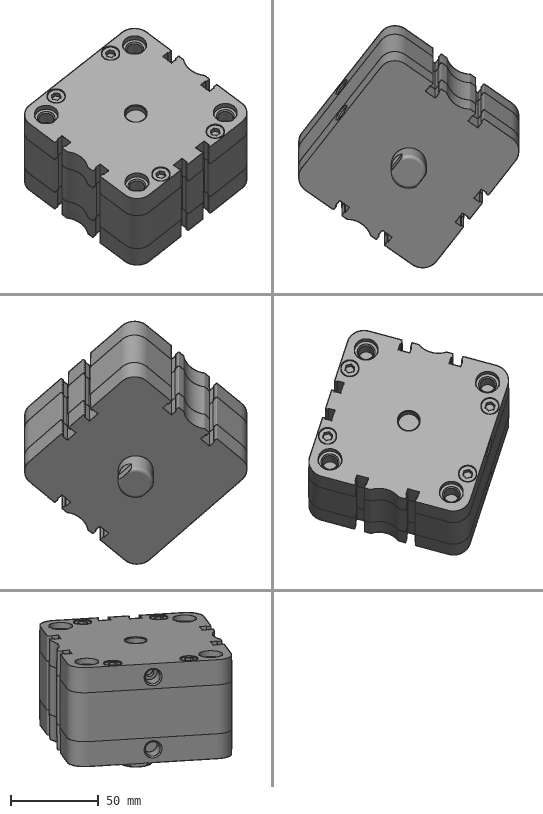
import cadquery as cq
import math

WIDTH = 95.5
COVER_HEIGHT = 14.9
BARREL_HEIGHT = 29.0
BODY_HEIGHT = 2 * COVER_HEIGHT + BARREL_HEIGHT
CORNER_RADIUS = 10.0
COVER_DRAFT = 0.7

CHANNEL_HALF_WIDTH = 8.2
CHANNEL_DEPTH = 2.7

SIDE_SLOT_OFFSET = 15.1
SIDE_SLOT_LIP = 2.9
SIDE_SLOT_DEPTH = 6.7
END_SLOT_OFFSET = 9.0
END_SLOT_LIP = 1.8
BARREL_END_SLOT_DEPTH = 5.35
COVER_END_SLOT_DEPTH = 5.6
BARREL_SLOT_MOUTH = 5.35
COVER_SLOT_MOUTH = 5.7
SLOT_CAVITY = 6.9

BARREL_MOUTH_RADIUS = 0.5
COVER_MOUTH_RADIUS = 0.3
BARREL_CHANNEL_RADIUS = 1.0
COVER_CHANNEL_RADIUS = 0.3

MOUNT_OFFSET = 36.0
MOUNT_COUNTERBORE = 13.5
MOUNT_COUNTERBORE_DEPTH = 3.4
MOUNT_CHAMFER = 10.1
MOUNT_BORE = 8.6
MOUNT_DEPTH = 12.4

SCREW_X = 41.5
SCREW_Y = 22.2
SCREW_RECESS = 10.3
SCREW_HEAD = 9.8
SCREW_SINK = 0.6
HEX_ACROSS_FLATS = 5.0
HEX_DEPTH = 2.9

CENTRE_RIM = 13.0
CENTRE_BORE = 12.0
CENTRE_DEPTH = 4.0

PORT_FROM_FACE = 7.9
PORT_RIM = 10.3
PORT_BORE = 8.6
PORT_DEPTH = 9.55
PORT_PASSAGE = 5.0
PORT_PASSAGE_DEPTH = 13.4

ROD_DIAMETER = 20.0
ROD_LENGTH = 14.1
ROD_TIP_RADIUS = 2.0
FLAT_ACROSS = 17.0
FLAT_LENGTH = 5.9

OVERLAP = 1.0


def block_outline():
    """Rounded square with the round channel on its -Y and +Y sides."""
    half = WIDTH / 2
    straight = half - CORNER_RADIUS
    corner = straight + CORNER_RADIUS * math.sqrt(0.5)
    return (
        cq.Workplane("XY")
        .moveTo(-straight, -half)
        .lineTo(-CHANNEL_HALF_WIDTH, -half)
        .threePointArc((0, CHANNEL_DEPTH - half), (CHANNEL_HALF_WIDTH, -half))
        .lineTo(straight, -half)
        .threePointArc((corner, -corner), (half, -straight))
        .lineTo(half, straight)
        .threePointArc((corner, corner), (straight, half))
        .lineTo(CHANNEL_HALF_WIDTH, half)
        .threePointArc((0, half - CHANNEL_DEPTH), (-CHANNEL_HALF_WIDTH, half))
        .lineTo(-straight, half)
        .threePointArc((-corner, corner), (-half, straight))
        .lineTo(-half, -straight)
        .threePointArc((-corner, -corner), (-straight, -half))
        .close()
    )


def t_slot(mouth_width, lip, depth, offset, turn):
    """T-slot cut through the whole height: on +Y before being turned about Z by `turn` degrees."""
    half = WIDTH / 2
    mouth = cq.Workplane("XY").box(mouth_width, depth + OVERLAP, BODY_HEIGHT, centered=(True, False, False))
    cavity = cq.Workplane("XY").box(SLOT_CAVITY, depth - lip, BODY_HEIGHT, centered=(True, False, False))
    slot = mouth.union(cavity).translate((offset, half - depth, 0))
    return slot.rotate((0, 0, 0), (0, 0, 1), turn)


def cut_t_slots(body, mouth_width, end_slot_depth):
    """Cut all six T-slots into a body standing on Z = 0."""
    for side in (-1, 1):
        for turn in (0, 180):
            offset = side * SIDE_SLOT_OFFSET
            body = body.cut(t_slot(mouth_width, SIDE_SLOT_LIP, SIDE_SLOT_DEPTH, offset, turn))
        body = body.cut(t_slot(mouth_width, END_SLOT_LIP, end_slot_depth, side * END_SLOT_OFFSET, -90))
    return body


def round_long_edges(body, mouth_radius, channel_radius):
    """Round the upright edges where the slots and the channel meet the outer sides."""
    reach = SIDE_SLOT_OFFSET + SLOT_CAVITY / 2
    skin = WIDTH / 2 - OVERLAP

    def is_upright_on_side(edge):
        across, out = sorted((abs(edge.Center().x), abs(edge.Center().y)))
        return edge.BoundingBox().zlen > COVER_HEIGHT / 2 and out > skin and across < reach

    def is_channel_edge(edge):
        beside_channel = abs(edge.Center().x) < CHANNEL_HALF_WIDTH + OVERLAP
        return is_upright_on_side(edge) and beside_channel

    def is_slot_edge(edge):
        return is_upright_on_side(edge) and not is_channel_edge(edge)

    body = body.edges().filter(is_slot_edge).fillet(mouth_radius)
    return body.edges().filter(is_channel_edge).fillet(channel_radius)


def cover_blank():
    """Drafted cover standing on Z = 0, wide face down, with its slots and rounded edges."""
    cover = block_outline().extrude(COVER_HEIGHT, taper=COVER_DRAFT)
    cover = cut_t_slots(cover, COVER_SLOT_MOUTH, COVER_END_SLOT_DEPTH)
    return round_long_edges(cover, COVER_MOUTH_RADIUS, COVER_CHANNEL_RADIUS)


def rimmed_hole(rim, bore, depth):
    """Blind bore going down from Z = 0, with a 45-degree chamfer opening to the rim diameter."""
    chamfer = (rim - bore) / 2
    return (
        cq.Workplane("XZ")
        .polyline([
            (0, 0),
            (rim / 2, 0),
            (bore / 2, -chamfer),
            (bore / 2, -depth),
            (0, -depth),
        ])
        .close()
        .revolve(360, (0, 0, 0), (0, 1, 0))
    )


def port_face_x():
    """Distance from the axis to the drafted -X face at the height of the ports."""
    return WIDTH / 2 - (COVER_HEIGHT - PORT_FROM_FACE) * math.tan(math.radians(COVER_DRAFT))


def port(z):
    """Chamfered port bored from the -X side at height z."""
    hole = rimmed_hole(PORT_RIM, PORT_BORE, PORT_DEPTH)
    lead = cq.Workplane("XY").circle(PORT_RIM / 2).extrude(OVERLAP)
    return hole.union(lead).rotate((0, 0, 0), (0, 1, 0), -90).translate((-port_face_x(), 0, z))


def mounting_hole():
    """Counterbore with a chamfered blind bore in its floor, going down from Z = 0."""
    counterbore = cq.Workplane("XY").circle(MOUNT_COUNTERBORE / 2).extrude(-MOUNT_COUNTERBORE_DEPTH)
    bore = rimmed_hole(MOUNT_CHAMFER, MOUNT_BORE, MOUNT_DEPTH - MOUNT_COUNTERBORE_DEPTH)
    return counterbore.union(bore.translate((0, 0, -MOUNT_COUNTERBORE_DEPTH)))


def screw_recess():
    """Shallow recess down to the chamfered screw head, and the hexagon socket in the head."""
    chamfer = (SCREW_RECESS - SCREW_HEAD) / 2
    recess = (
        cq.Workplane("XZ")
        .polyline([
            (0, 0),
            (SCREW_RECESS / 2, 0),
            (SCREW_RECESS / 2, -SCREW_SINK - chamfer),
            (SCREW_HEAD / 2, -SCREW_SINK),
            (0, -SCREW_SINK),
        ])
        .close()
        .revolve(360, (0, 0, 0), (0, 1, 0))
    )
    across_corners = HEX_ACROSS_FLATS / math.cos(math.pi / 6)
    socket = cq.Workplane("XY").polygon(6, across_corners).extrude(-SCREW_SINK - HEX_DEPTH)
    return recess.union(socket.rotate((0, 0, 0), (0, 0, 1), 360 / 12))


def make_barrel():
    barrel = cut_t_slots(block_outline().extrude(BARREL_HEIGHT), BARREL_SLOT_MOUTH, BARREL_END_SLOT_DEPTH)
    barrel = round_long_edges(barrel, BARREL_MOUTH_RADIUS, BARREL_CHANNEL_RADIUS)
    return barrel.translate((0, 0, COVER_HEIGHT))


def make_rod_cover():
    cover = cover_blank().mirror("XY").translate((0, 0, COVER_HEIGHT))
    return cover.cut(port(PORT_FROM_FACE))


def make_top_cover():
    cover = cover_blank().translate((0, 0, BODY_HEIGHT - COVER_HEIGHT))
    port_z = BODY_HEIGHT - PORT_FROM_FACE
    passage = (
        cq.Workplane("YZ", origin=(-WIDTH / 2, 0, port_z))
        .circle(PORT_PASSAGE / 2)
        .extrude(PORT_PASSAGE_DEPTH)
    )
    cover = cover.cut(port(port_z)).cut(passage)
    cover = cover.cut(rimmed_hole(CENTRE_RIM, CENTRE_BORE, CENTRE_DEPTH).translate((0, 0, BODY_HEIGHT)))
    for side_x in (-1, 1):
        for side_y in (-1, 1):
            mount_place = (side_x * MOUNT_OFFSET, side_y * MOUNT_OFFSET, BODY_HEIGHT)
            screw_place = (side_x * SCREW_X, side_y * SCREW_Y, BODY_HEIGHT)
            cover = cover.cut(mounting_hole().translate(mount_place))
            cover = cover.cut(screw_recess().translate(screw_place))
    return cover


def make_piston_rod():
    radius = ROD_DIAMETER / 2
    rod = cq.Workplane("XY").circle(radius).extrude(-ROD_LENGTH)
    rod = rod.faces("<Z").edges().fillet(ROD_TIP_RADIUS)
    flat = FLAT_ACROSS / 2
    outside = radius + OVERLAP
    shoulder = FLAT_LENGTH - ROD_LENGTH
    for turn in (0, 180):
        relief = (
            cq.Workplane("XZ")
            .polyline([
                (flat, -ROD_LENGTH - OVERLAP),
                (flat, shoulder),
                (outside, shoulder + outside - flat),
                (outside, -ROD_LENGTH - OVERLAP),
            ])
            .close()
            .extrude(radius, both=True)
        )
        rod = rod.cut(relief.rotate((0, 0, 0), (0, 0, 1), turn))
    return rod


barrel = make_barrel()
rod_cover = make_rod_cover()
top_cover = make_top_cover()
piston_rod = make_piston_rod()

result = cq.Compound.makeCompound([
    barrel.val(),
    rod_cover.val(),
    top_cover.val(),
    piston_rod.val(),
])